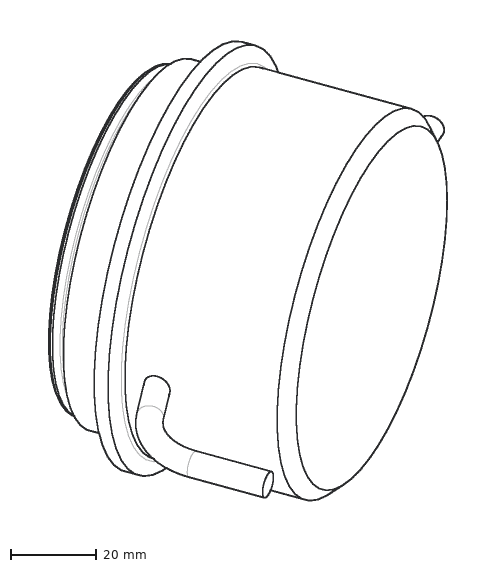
import cadquery as cq
import math

nose_radius = 84.5 / 2
bead_radius = 85.9 / 2
shoulder_radius = 90.6 / 2
flange_radius = 104.7 / 2
body_radius = 95.3 / 2

bead_start = 0.7
bead_end = 1.3
groove_start = 2.8
shoulder_start = 5.1
flange_start = 16.1
flange_end = 19.7
body_start = 22.0
body_end = 64.4
cove_radius = 1.7
flange_fillet = 0.7
flange_cone_foot = 0.7
end_chamfer = 3.4

pin_diameter = 6.4
straight_pin_x = 49.9
straight_pin_end = 68.4
overall_span = 142.5
bent_pin_reach = overall_span - straight_pin_end
bent_pin_tip_x = 68.8
bend_end_x = 49.5
bend_radius = 17.0
bend_angle = math.radians(75)
pin_root = 35.6


def make_body():
    groove_run = groove_start - bead_end
    groove_rise = bead_radius - nose_radius
    groove_arc = (groove_run**2 + groove_rise**2) / (2 * groove_rise)
    profile = (
        cq.Workplane("XY")
        .lineTo(0, nose_radius)
        .lineTo(bead_start, bead_radius)
        .lineTo(bead_end, bead_radius)
        .radiusArc((groove_start, nose_radius), -groove_arc)
        .lineTo(shoulder_start - cove_radius, nose_radius)
        .radiusArc((shoulder_start, nose_radius + cove_radius), -cove_radius)
        .lineTo(shoulder_start, shoulder_radius)
        .lineTo(flange_start, shoulder_radius)
        .lineTo(flange_start, flange_radius)
        .lineTo(flange_end, flange_radius)
        .lineTo(body_start - flange_fillet, body_radius + flange_cone_foot)
        .radiusArc((body_start, body_radius), -2 * flange_fillet)
        .lineTo(body_end - end_chamfer, body_radius)
        .lineTo(body_end, body_radius - end_chamfer)
        .lineTo(body_end, 0)
        .close()
    )
    return profile.revolve(360, (0, 0, 0), (1, 0, 0))


def make_straight_pin():
    pin = cq.Workplane("XZ", origin=(straight_pin_x, pin_root, 0)).circle(pin_diameter / 2)
    return pin.extrude(pin_root - straight_pin_end)


def make_bent_pin():
    """Pin leaving the body at a slant, then bending until it runs along +X."""
    axis_y = pin_diameter / 2 - bent_pin_reach
    center_y = axis_y + bend_radius

    def bend_point(angle):
        return (bend_end_x - bend_radius * math.sin(angle), center_y - bend_radius * math.cos(angle))

    leg_x, leg_y = bend_point(bend_angle)
    root_x = leg_x - (-pin_root - leg_y) / math.tan(bend_angle)
    path = (
        cq.Workplane("XY")
        .moveTo(bent_pin_tip_x, axis_y)
        .lineTo(bend_end_x, axis_y)
        .threePointArc(bend_point(bend_angle / 2), (leg_x, leg_y))
        .lineTo(root_x, -pin_root)
    )
    section = cq.Workplane("YZ", origin=(bent_pin_tip_x, axis_y, 0)).circle(pin_diameter / 2)
    return section.sweep(path)


result = make_body().union(make_straight_pin()).union(make_bent_pin())